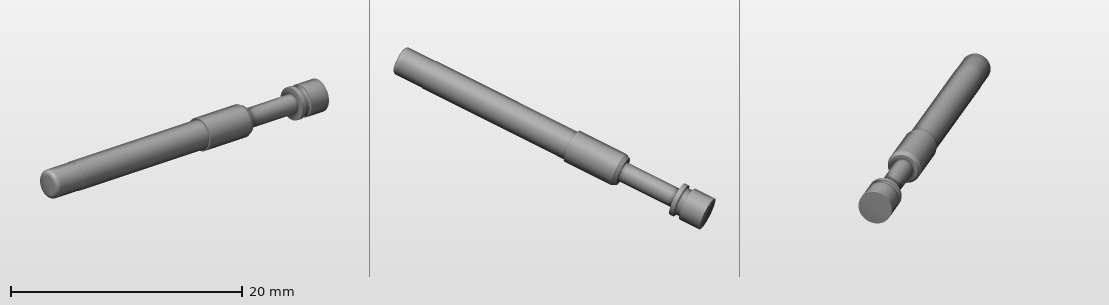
import cadquery as cq
import math

total_length = 30.3

head_radius = 1.5
head_length = 1.97
groove_width = 0.6
groove_depth = 0.25
groove_fillet = 0.18
collar_width = 0.4

stem_radius = 0.895
stem_length = 5.33

sleeve_radius = head_radius
sleeve_length = 5.0
taper_length = 0.4
taper_end_radius = 1.3

body_radius = 1.33
cap_radius = 1.3
cap_length = 2.97
cap_fillet = 0.4

groove_start = head_length
collar_start = groove_start + groove_width
stem_start = collar_start + collar_width
sleeve_start = stem_start + stem_length
body_start = sleeve_start + sleeve_length
cap_start = total_length - cap_length


def point(radius, depth):
    """Half-section point at a radius and a depth below the head end."""
    return (radius, total_length / 2 - depth)


def add_line(outline, *corners):
    """Continue the outline straight through (radius, depth) corners."""
    for radius, depth in corners:
        outline = outline.lineTo(*point(radius, depth))
    return outline


def add_head(outline):
    """Head end face and head side."""
    return add_line(outline, (head_radius, 0), (head_radius, groove_start))


def add_groove(outline):
    """Groove whose two inner corners are rounded."""
    floor_radius = head_radius - groove_depth
    wall_radius = floor_radius + groove_fillet
    inset = groove_fillet * (1 - math.sqrt(0.5))

    outline = add_line(outline, (wall_radius, groove_start))
    outline = outline.threePointArc(
        point(floor_radius + inset, groove_start + inset),
        point(floor_radius, groove_start + groove_fillet),
    )
    outline = add_line(outline, (floor_radius, collar_start - groove_fillet))
    return outline.threePointArc(
        point(floor_radius + inset, collar_start - inset),
        point(wall_radius, collar_start),
    )


def add_collar_and_stem(outline):
    """Thin collar followed by the narrow stem."""
    return add_line(
        outline,
        (head_radius, collar_start),
        (head_radius, stem_start),
        (stem_radius, stem_start),
        (stem_radius, sleeve_start),
    )


def add_sleeve(outline):
    """Sleeve with its tapered nose."""
    return add_line(
        outline,
        (taper_end_radius, sleeve_start),
        (sleeve_radius, sleeve_start + taper_length),
        (sleeve_radius, body_start),
    )


def add_body_and_cap(outline):
    """Long body and the cap with its rounded end."""
    round_start = total_length - cap_fillet
    flat_radius = cap_radius - cap_fillet
    reach = cap_fillet * math.sqrt(0.5)

    outline = add_line(
        outline,
        (body_radius, body_start),
        (body_radius, cap_start),
        (cap_radius, cap_start),
        (cap_radius, round_start),
    )
    outline = outline.threePointArc(
        point(flat_radius + reach, round_start + reach),
        point(flat_radius, total_length),
    )
    return add_line(outline, (0, total_length))


half_section = cq.Workplane("XY").moveTo(*point(0, 0))
half_section = add_head(half_section)
half_section = add_groove(half_section)
half_section = add_collar_and_stem(half_section)
half_section = add_sleeve(half_section)
half_section = add_body_and_cap(half_section)

result = half_section.close().revolve(360, (0, 0, 0), (0, 1, 0))